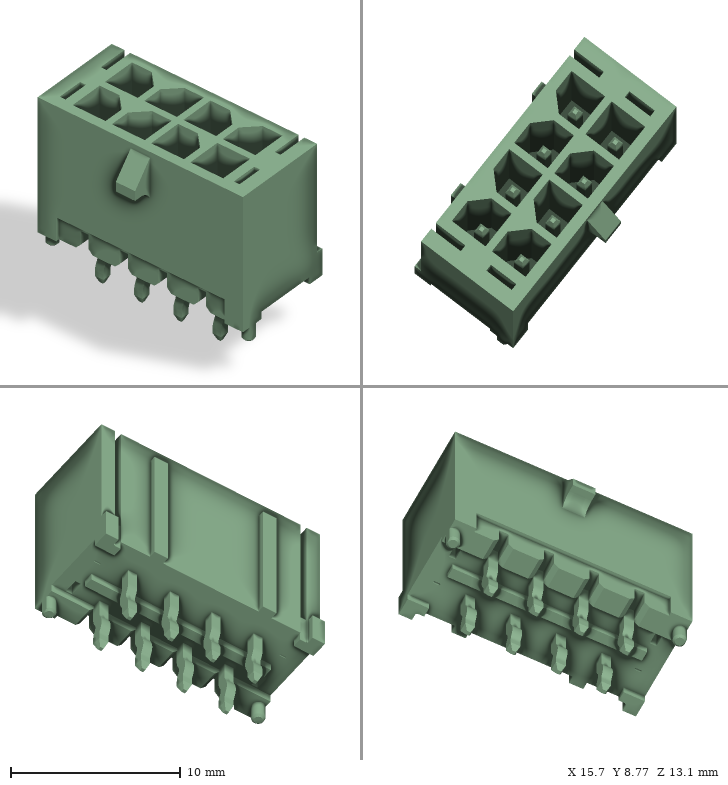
import cadquery as cq
import math


width = 15.7
depth = 6.9
height = 9.9
foot_depth = 0.49
front_leg_depth = 1.73
rear_leg_start = 6.2
standoff = 0.53

columns = 4
pitch = 3.0
column_xs = [(i - (columns - 1) / 2) * pitch for i in range(columns)]
front_row_y = 1.96
rear_row_y = front_row_y + pitch

cavity_size = 2.51
cavity_chamfer = 1.0
cavity_floor_z = 2.04

pin_size = 0.65
pin_top_z = 6.75
pin_bottom_z = -3.19
tip_length = 0.49
tip_size = 0.25
bend_top_z = -0.61
bend_radius = 0.83
bend_angle = math.radians(28)
bend_straight = 0.08

recess_half_width = 6.44
recess_height = 1.76
recess_depth = 0.27
pin_slot_top_z = 1.38
flare_size = 0.33

bar_start_y = 3.12
bar_depth = 0.68
bar_bottom_z = 0.05

foot_width = 0.88
foot_height = 1.95
rib_width = 0.94
rib_x = 3.9
rib_top_z = 8.78

wall_slot_width = 0.44
wall_slot_x = recess_half_width + wall_slot_width / 2
front_slot_start = 0.86
front_ledge_end = 1.8
front_slot_end = 2.76
rear_slot_start = 4.68
shelf_start = 4.8
shelf_inset = 0.05

hook_width = 1.48
hook_reach = 1.38
hook_top_z = 9.47
hook_nose_top_z = 7.8
hook_nose_bottom_z = 7.1
hook_root_z = 6.5
hook_flat = 0.5

peg_radius = 0.42
peg_x = width / 2 - 0.35
peg_y = 0.95
peg_length = 1.15
peg_chamfer = 0.14


def block(x_min, x_max, y_min, y_max, z_min, z_max):
    """Box given by its limits along each axis."""
    return cq.Workplane("XY").box(
        x_max - x_min, y_max - y_min, z_max - z_min, centered=False
    ).translate((x_min, y_min, z_min))


def centred_block(x, x_size, y_min, y_max, z_min, z_max):
    """Box centred on x and given by its limits along Y and Z."""
    return block(x - x_size / 2, x + x_size / 2, y_min, y_max, z_min, z_max)


def housing_shell():
    """Main block with legs at the front and at the rear corners."""
    half = width / 2
    shell = block(-half, half, 0, depth, 0, height)
    shell = shell.cut(block(-half, half, front_leg_depth, rear_leg_start, 0, standoff))
    return shell.cut(
        block(-recess_half_width, recess_half_width, rear_leg_start, depth, 0, standoff)
    )


def rear_supports():
    """Feet at the rear corners and two ribs up the rear face."""
    rear_y = depth + foot_depth
    foot_x = (width - foot_width) / 2
    supports = cq.Workplane("XY")
    for side in (-1, 1):
        supports = supports.add(centred_block(side * foot_x, foot_width, depth, rear_y, 0, foot_height))
        supports = supports.add(centred_block(side * rib_x, rib_width, depth, rear_y, standoff, rib_top_z))
    return supports.combine()


def cavity(x, y, chamfer_side):
    """Cavity with its rear corner cut off on the given X side, or square for side 0."""
    half = cavity_size / 2
    tool = centred_block(x, cavity_size, y - half, y + half, cavity_floor_z, height)
    if chamfer_side > 0:
        tool = tool.edges("|Z and >X and >Y").chamfer(cavity_chamfer)
    if chamfer_side < 0:
        tool = tool.edges("|Z and <X and >Y").chamfer(cavity_chamfer)
    return tool


def wall_slots(x):
    """Front and rear slots in one end wall, each open at the bottom beside its ledge or shelf."""
    def slot(y_min, y_max, z_min):
        return centred_block(x, wall_slot_width, y_min, y_max, z_min, height)

    front = slot(front_slot_start, front_slot_end, foot_height)
    front_opening = slot(front_ledge_end, front_slot_end, standoff)
    rear = slot(rear_slot_start, depth, foot_height)
    rear_opening = slot(rear_slot_start, shelf_start, standoff)
    shelf_edge = slot(depth - shelf_inset, depth, 0)
    return front.union(front_opening).union(rear).union(rear_opening).union(shelf_edge)


def pin_slot(x):
    """Slot in front of a front-row pin, with a flared foot through the front leg."""
    slot = centred_block(x, pin_size, 0, front_row_y, 0, pin_slot_top_z)
    half = pin_size / 2
    flare = (
        cq.Workplane("XZ", origin=(x, 0, 0))
        .polyline([
            (-half - flare_size, 0),
            (half + flare_size, 0),
            (half, flare_size),
            (-half, flare_size),
        ])
        .close()
        .extrude(-front_leg_depth)
    )
    return slot.union(flare)


def pin_tip(z, direction):
    """Tapered pin end starting at z and pointing up (1) or down (-1)."""
    return (
        cq.Workplane("XY", origin=(0, 0, z))
        .rect(pin_size, pin_size)
        .workplane(offset=direction * tip_length)
        .rect(tip_size, tip_size)
        .loft(combine=True)
    )


def pin(x, y, bend_side):
    """Square pin whose tail kinks towards +Y (1) or -Y (-1) and returns."""
    shank_top = pin_top_z - tip_length
    shank_bottom = pin_bottom_z + tip_length
    arc_shift = bend_side * bend_radius * (1 - math.cos(bend_angle))
    arc_drop = bend_radius * math.sin(bend_angle)
    slope_shift = bend_side * bend_straight * math.sin(bend_angle)
    slope_drop = bend_straight * math.cos(bend_angle)
    path = (
        cq.Workplane("YZ")
        .moveTo(0, shank_top)
        .lineTo(0, bend_top_z)
        .tangentArcPoint((arc_shift, -arc_drop))
        .line(slope_shift, -slope_drop)
        .tangentArcPoint((0, -2 * arc_drop))
        .line(-slope_shift, -slope_drop)
        .tangentArcPoint((-arc_shift, -arc_drop))
        .lineTo(0, shank_bottom)
    )
    shank = cq.Workplane("XY", origin=(0, 0, shank_top)).rect(pin_size, pin_size).sweep(path)
    whole = shank.union(pin_tip(shank_top, 1)).union(pin_tip(shank_bottom, -1))
    return whole.translate((x, y, 0))


def row_bar():
    """Bar under the housing between the pin rows."""
    return block(
        -recess_half_width, recess_half_width,
        bar_start_y, bar_start_y + bar_depth,
        bar_bottom_z, standoff,
    )


def latch_hook():
    """Hook on the front face with a sloped top and a hollow underside."""
    return (
        cq.Workplane("YZ")
        .moveTo(0, hook_top_z)
        .lineTo(-hook_reach, hook_nose_top_z)
        .lineTo(-hook_reach, hook_nose_bottom_z)
        .lineTo(-hook_reach + hook_flat, hook_nose_bottom_z)
        .tangentArcPoint((0, hook_root_z), relative=False)
        .close()
        .extrude(hook_width / 2, both=True)
    )


def peg(side):
    """Round locating peg, flattened where it meets the end of the housing."""
    cylinder = (
        cq.Workplane("XY", origin=(side * peg_x, peg_y, 0))
        .circle(peg_radius)
        .extrude(-peg_length)
        .faces("<Z")
        .chamfer(peg_chamfer)
    )
    return cylinder.intersect(block(-width / 2, width / 2, 0, depth, -peg_length, 0))


housing = housing_shell().union(rear_supports())
housing = housing.cut(
    block(-recess_half_width, recess_half_width, 0, recess_depth, 0, recess_height)
)

for index, column_x in enumerate(column_xs):
    facing_side = 1 if index % 2 == 0 else -1
    front_side = 0 if index == columns - 1 else facing_side
    housing = housing.cut(cavity(column_x, rear_row_y, facing_side))
    housing = housing.cut(cavity(column_x, front_row_y, front_side))
    housing = housing.cut(pin_slot(column_x))

housing = housing.union(row_bar()).union(latch_hook())

for end in (-1, 1):
    housing = housing.cut(wall_slots(end * wall_slot_x))
    housing = housing.union(peg(end))

for column_x in column_xs:
    housing = housing.union(pin(column_x, front_row_y, 1))
    housing = housing.union(pin(column_x, rear_row_y, -1))

result = housing